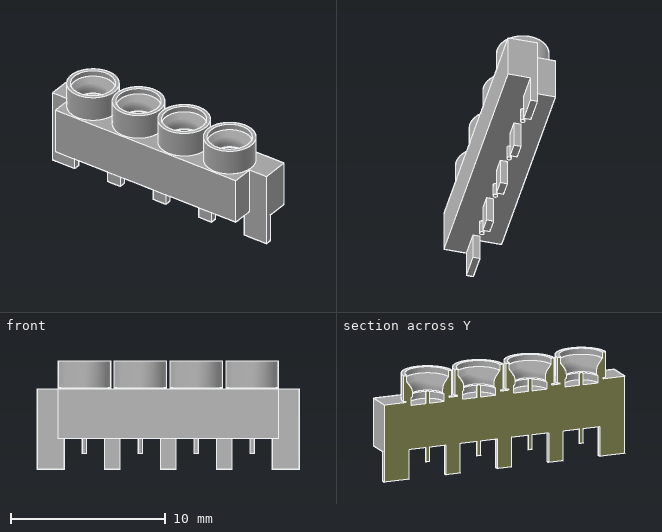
import cadquery as cq

length = 16.97
depth = 3.51
height = 7.01

socket_count = 4
pitch = 3.61
socket_diameter = 3.41
socket_height = 1.8
neck_diameter = 3.05
neck_height = 0.05

body_length = 14.29
body_height = 3.22
wing_depth = 1.97

leg_depth = 0.48
end_leg_length = 1.76
middle_leg_length = 1.02

mouth_radius = 1.46
mouth_depth = 0.4
throat_radius = 1.15
throat_start = 0.83
bead_radius = 1.05
bead_start = 1.22
bead_end = 1.46
recess_start = 1.58
bore_depth = 2.04

pin_diameter = 0.29
pin_tail = 0.97
pin_tip_depth = 1.19
tip_rounding = 0.14

lead_in_step = throat_radius - bead_radius
lead_in_drop = bead_start - throat_start
lead_in_radius = (lead_in_step**2 + lead_in_drop**2) / (2 * lead_in_step)

body_top = body_height
rim_level = body_top + socket_height
leg_bottom = rim_level - height
back_face = depth / 2
wing_front = back_face - wing_depth
socket_centers = [pitch * (i - (socket_count - 1) / 2) for i in range(socket_count)]


def block(x_center, x_size, y_front, y_size, z_bottom, z_size):
    """Box centred on x_center, growing backwards and upwards from its front lower edge."""
    return (
        cq.Workplane("XY")
        .box(x_size, y_size, z_size, centered=(True, False, False))
        .translate((x_center, y_front, z_bottom))
    )


def cylinder(x, diameter, z_bottom, z_top):
    return cq.Workplane("XY", origin=(x, 0, z_bottom)).circle(diameter / 2).extrude(z_top - z_bottom)


def socket_bore(x):
    """Mouth, taper, inward bead and recess, turned about the socket axis."""
    return (
        cq.Workplane("XZ")
        .lineTo(mouth_radius, 0)
        .lineTo(mouth_radius, -mouth_depth)
        .lineTo(throat_radius, -throat_start)
        .radiusArc((bead_radius, -bead_start), -lead_in_radius)
        .lineTo(bead_radius, -bead_end)
        .lineTo(throat_radius, -recess_start)
        .lineTo(throat_radius, -bore_depth)
        .lineTo(0, -bore_depth)
        .close()
        .revolve(360, (0, 0, 0), (0, 1, 0))
        .translate((x, 0, rim_level))
    )


def contact_pin(x):
    """Straight pin with a domed upper tip."""
    pin = cylinder(x, pin_diameter, -pin_tail, rim_level - pin_tip_depth)
    return pin.faces(">Z").edges().fillet(tip_rounding)


result = block(0, body_length, -depth / 2, depth, 0, body_height)
result = result.union(block(0, length, wing_front, wing_depth, 0, body_height))

end_leg_x = (length - end_leg_length) / 2
for x in (-end_leg_x, end_leg_x):
    result = result.union(block(x, end_leg_length, wing_front, leg_depth, leg_bottom, -leg_bottom))
for x in socket_centers[:-1]:
    leg = block(x + pitch / 2, middle_leg_length, wing_front, leg_depth, leg_bottom, -leg_bottom)
    result = result.union(leg)

for x in socket_centers:
    result = result.union(cylinder(x, neck_diameter, body_top, body_top + neck_height))
    result = result.union(cylinder(x, socket_diameter, body_top + neck_height, rim_level))
    result = result.cut(socket_bore(x))
    result = result.union(contact_pin(x))